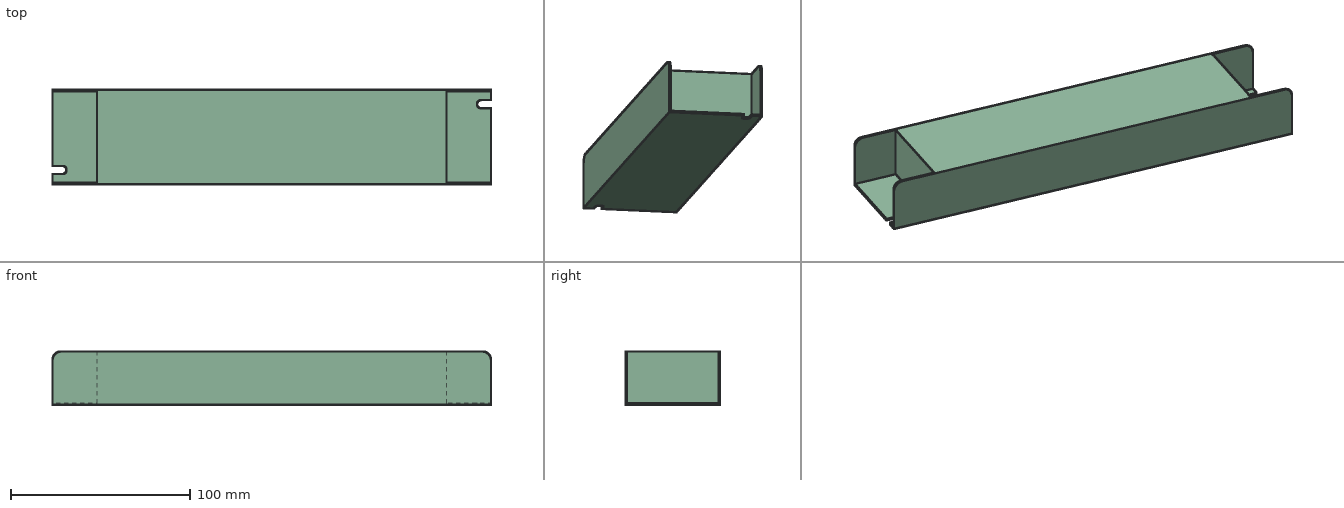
import cadquery as cq

length = 245.0
width = 53.0
height = 30.0

sheet = 1.0
corner_radius = 5.0

bay_length = 25.0

slot_width = 4.5
slot_depth = 7.8
slot_side_offset = 8.0


def make_body():
    """Full block with the upper end corners of its side walls rounded."""
    block = cq.Workplane("XY").box(length, width, height, centered=(True, True, False))
    return block.edges("|Y and >Z").fillet(corner_radius)


def make_bay(end):
    """Space above the floor and between the side walls at one end."""
    return (
        cq.Workplane("XY", origin=(end * (length - bay_length) / 2, 0, sheet))
        .box(bay_length, width - 2 * sheet, height, centered=(True, True, False))
    )


def make_slot(end):
    """Round-bottomed slot through the floor at one end."""
    center = (end * length / 2, end * (width / 2 - slot_side_offset))
    return (
        cq.Workplane("XY")
        .center(*center)
        .slot2D(2 * slot_depth, slot_width)
        .extrude(sheet)
    )


result = make_body()
for end in (-1, 1):
    result = result.cut(make_bay(end)).cut(make_slot(end))